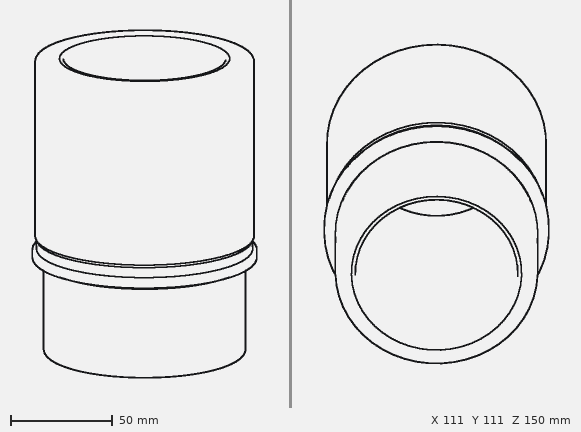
import cadquery as cq

height = 150.0
liner_radius = 42.0
bore_radius = 40.0
bore_edge = 0.3

barrel_radius = 54.2
barrel_bottom = 59.2
barrel_round = 1.8

groove_radius = 53.4
groove_top = 57.8

collar_radius = 55.5
collar_top = 52.6
collar_bottom = 47.7
collar_round = 0.6

spigot_radius = 50.0
spigot_top = 45.8
neck_radius = 49.2
spigot_round = 1.5


def make_housing():
    """Stepped sleeve revolved about Z, with its circular edges rounded."""
    profile = [
        (liner_radius, 0),
        (spigot_radius, 0),
        (spigot_radius, spigot_top),
        (neck_radius, collar_bottom),
        (collar_radius, collar_bottom),
        (collar_radius, collar_top),
        (groove_radius, collar_top),
        (groove_radius, groove_top),
        (barrel_radius, barrel_bottom),
        (barrel_radius, height),
        (liner_radius, height),
    ]
    sleeve = cq.Workplane("XZ").polyline(profile).close().revolve(360, (0, 0), (0, 1))
    largest_circle = cq.selectors.RadiusNthSelector(-1)
    sleeve = sleeve.faces(">Z").edges(largest_circle).fillet(barrel_round)
    sleeve = sleeve.faces("<Z").edges(largest_circle).fillet(spigot_round)
    return sleeve.edges("%CIRCLE").edges(largest_circle).fillet(collar_round)


def make_liner():
    """Thin bush lining the full length of the housing."""
    bush = cq.Workplane("XY").circle(liner_radius).circle(bore_radius).extrude(height)
    bore_rims = cq.selectors.RadiusNthSelector(0)
    return bush.edges("%CIRCLE").edges(bore_rims).fillet(bore_edge)


housing = make_housing()
liner = make_liner()

result = cq.Compound.makeCompound([housing.val(), liner.val()])